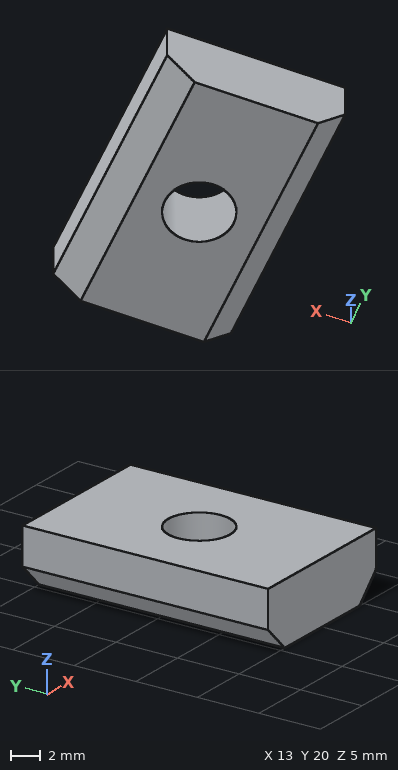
import cadquery as cq

width = 13.0
length = 20.0
height = 5.0

bevel = 2.0

hole_diameter = 5.0

block = cq.Workplane("XY").box(width, length, height)
beveled_block = block.faces("<Z").edges("|Y").chamfer(bevel)
result = beveled_block.faces(">Z").workplane().hole(hole_diameter)